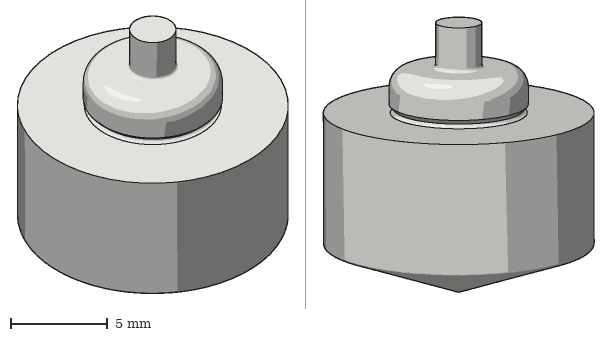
import cadquery as cq
import math

total_height = 14.34

housing_radius = 14.0 / 2
cone_angle = 20.0
housing_edge_fillet = 0.15

step_height = 2.4
cap_radius = 7.2 / 2
cap_top_fillet = 1.0
neck_step = 0.26
stem_radius = 2.4 / 2
root_fillet = 0.2

cap_top = total_height - step_height
housing_top = cap_top - step_height
cone_height = housing_radius * math.tan(math.radians(cone_angle))
diagonal = math.sqrt(0.5)


def make_housing():
    """Solid cylinder ending in a cone, with its lower edge rounded."""
    outline = (
        cq.Workplane("XZ")
        .lineTo(housing_radius, cone_height)
        .lineTo(housing_radius, housing_top)
        .lineTo(0, housing_top)
        .close()
    )
    body = outline.revolve(360, (0, 0, 0), (0, 1, 0))
    return body.edges("%CIRCLE").edges("<Z").fillet(housing_edge_fillet)


def make_cap():
    """Rounded cap with an undercut neck and a central stem."""
    neck_radius = cap_radius - neck_step
    neck_height = housing_top + root_fillet
    root_inset = root_fillet * (1 - diagonal)
    top_inset = cap_top_fillet * (1 - diagonal)
    outline = (
        cq.Workplane("XZ")
        .moveTo(0, housing_top)
        .lineTo(neck_radius + root_fillet, housing_top)
        .threePointArc((neck_radius + root_inset, housing_top + root_inset), (neck_radius, neck_height))
        .lineTo(cap_radius, neck_height + neck_step)
        .lineTo(cap_radius, cap_top - cap_top_fillet)
        .threePointArc((cap_radius - top_inset, cap_top - top_inset), (cap_radius - cap_top_fillet, cap_top))
        .lineTo(stem_radius + root_fillet, cap_top)
        .threePointArc((stem_radius + root_inset, cap_top + root_inset), (stem_radius, cap_top + root_fillet))
        .lineTo(stem_radius, total_height)
        .lineTo(0, total_height)
        .close()
    )
    return outline.revolve(360, (0, 0, 0), (0, 1, 0))


housing = make_housing()
cap = make_cap()
result = cq.Compound.makeCompound([housing.val(), cap.val()])